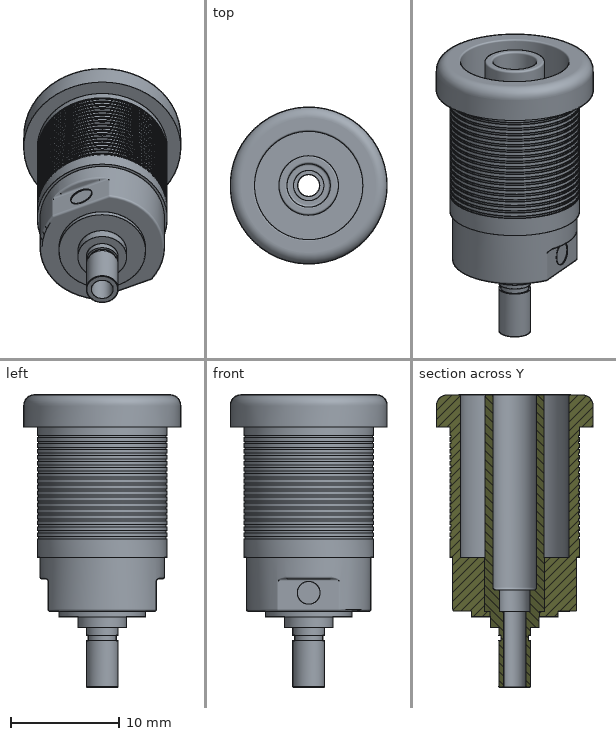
import cadquery as cq

total_height = 27.0
head_thickness = 3.0
head_bottom = total_height - head_thickness
sleeve_bottom = 12.0
body_bottom = 7.0
collar_bottom = 6.5

head_radius = 7.25
head_round = 1.0
sleeve_radius = 6.0
body_radius = 5.75
edge_round = 0.2
collar_radius = 4.0
mouth_radius = 5.0
mouth_round = 0.15
mouth_floor = sleeve_bottom

groove_count = 18
groove_pitch = 0.55
groove_width = 0.2
groove_depth = 0.1
first_groove_top = head_bottom - 0.75

flat_distance = 5.0
flat_top = 10.0
recess_radius = 1.05
recess_depth = 0.1
recess_height = 8.72

tube_radius = 2.75
tube_round = 0.17
tube_top = total_height
shank_radius = 2.25
shank_bottom = 5.5
pin_radius = 1.475
pin_chamfer = 0.05
neck_radius = 1.3
neck_top = 4.8
neck_bottom = 4.3
socket_radius = 2.0
socket_bottom = 9.0
socket_floor_round = 0.2
step_radius = 1.4
step_bottom = body_bottom
through_radius = 1.0


def disc(radius, bottom, top):
    """Upright cylinder on the Z axis between two heights."""
    return cq.Workplane("XY").workplane(offset=bottom).circle(radius).extrude(top - bottom)


def head():
    """Rounded flange at the front of the housing."""
    return disc(head_radius, head_bottom, total_height).faces(">Z").edges().fillet(head_round)


def thread_groove(top):
    """Ring that cuts one groove into the sleeve."""
    floor_radius = sleeve_radius - groove_depth
    return disc(head_radius, top - groove_width, top).cut(disc(floor_radius, top - groove_width, top))


def sleeve():
    """Threaded sleeve below the head."""
    barrel = disc(sleeve_radius, sleeve_bottom, head_bottom)
    for index in range(groove_count):
        barrel = barrel.cut(thread_groove(first_groove_top - index * groove_pitch))
    return barrel


def flat_cutter(side):
    """Block that cuts a flat on one side (-1 or 1 along Y) of the rear body."""
    return (
        cq.Workplane("XY")
        .box(2 * body_radius, body_radius, flat_top, centered=(True, True, False))
        .translate((0, side * (flat_distance + body_radius / 2), 0))
    )


def recess_cutter(side):
    """Shallow round recess in one flat."""
    return (
        cq.Workplane("XZ", origin=(0, side * flat_distance, recess_height))
        .circle(recess_radius)
        .extrude(recess_depth, both=True)
    )


def rear_body():
    """Rear part of the housing with two flats and rounded edges."""
    body = disc(body_radius, body_bottom, sleeve_bottom)
    for side in (-1, 1):
        body = body.cut(flat_cutter(side))
    below_top = cq.selectors.BoxSelector(
        (-head_radius, -head_radius, 0),
        (head_radius, head_radius, sleeve_bottom - edge_round),
    )
    body = body.edges(below_top).fillet(edge_round)
    for side in (-1, 1):
        body = body.cut(recess_cutter(side))
    return body


def make_housing():
    """Housing with its open mouth and the seat for the contact."""
    housing = (
        head()
        .union(sleeve())
        .union(rear_body())
        .union(disc(collar_radius, collar_bottom, body_bottom))
    )
    housing = housing.cut(disc(mouth_radius, mouth_floor, total_height))
    inner_edge = cq.selectors.RadiusNthSelector(0)
    housing = housing.faces(">Z").edges(inner_edge).fillet(mouth_round)
    housing = housing.cut(disc(tube_radius, body_bottom, mouth_floor))
    return housing.cut(disc(shank_radius, collar_bottom, body_bottom))


def contact_blank():
    """Turned contact without its bore, built up from the tip to the socket tube."""
    pin = disc(pin_radius, 0, neck_bottom).faces("<Z").edges().chamfer(pin_chamfer)
    return (
        pin.union(disc(neck_radius, neck_bottom, neck_top))
        .union(disc(pin_radius, neck_top, shank_bottom))
        .union(disc(shank_radius, shank_bottom, body_bottom))
        .union(disc(tube_radius, body_bottom, tube_top))
    )


def contact_bore():
    """Through bore of the contact: round-bottomed socket, step and narrow hole to the tip."""
    socket = disc(socket_radius, socket_bottom, tube_top)
    socket = socket.faces("<Z").edges().fillet(socket_floor_round)
    return (
        socket.union(disc(step_radius, step_bottom, socket_bottom))
        .union(disc(through_radius, 0, step_bottom))
    )


def make_contact():
    """Contact with its bore and a rounded tube rim."""
    contact = contact_blank().cut(contact_bore())
    return contact.faces(">Z").edges().fillet(tube_round)


housing = make_housing()
contact = make_contact()
result = cq.Compound.makeCompound([housing.solids().val(), contact.solids().val()])